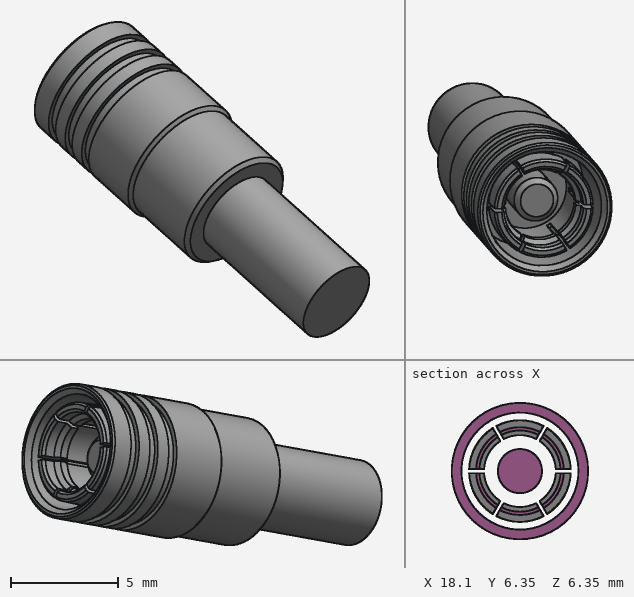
import cadquery as cq

overall_length = 18.1
shell_diameter = 6.35
shell_radius = shell_diameter / 2
shell_chamfer = 0.09

groove_count = 3
groove_start = 1.1
groove_width = 0.5
groove_pitch = 1.2
groove_radius = 2.95

shell_end = 7.0
barrel_radius = 3.0
barrel_end = 10.9
barrel_chamfer = 0.2

mouth_radius = 2.95
mouth_chamfer_depth = 0.25
cavity_radius = 2.72
cavity_depth = 4.52

collet_front = 0.24
collet_face_radius = 2.23
collet_tip_radius = 2.33
collet_lip_radius = 2.37
collet_lip_end = 1.54
finger_radius = 2.05
entry_radius = 2.01
entry_bore_radius = 1.88
ridge_start = 0.9
ridge_radius = 1.67
entry_chamfer = entry_radius - entry_bore_radius
ridge_cone = entry_bore_radius - ridge_radius
tip_chamfer = collet_tip_radius - collet_face_radius

slot_count = 6
slot_width = 0.18
slot_end = 3.98

pin_radius = 1.03
pin_tip = 2.0
pin_chamfer = 0.25

cable_radius = 2.01


def revolve_about_x(points):
    """Turn a closed (x, radius) outline into a solid of revolution about the X axis."""
    return cq.Workplane("XY").polyline(points).close().revolve(360, (0, 0, 0), (1, 0, 0))


def make_shell():
    """Hollow shell with the rear barrel behind it."""
    shell = revolve_about_x([
        (0, mouth_radius),
        (0, shell_radius - shell_chamfer),
        (shell_chamfer, shell_radius),
        (shell_end - (shell_radius - barrel_radius), shell_radius),
        (shell_end, barrel_radius),
        (barrel_end - barrel_chamfer, barrel_radius),
        (barrel_end, barrel_radius - barrel_chamfer),
        (barrel_end, 0),
        (cavity_depth, 0),
        (cavity_depth, cavity_radius),
        (mouth_chamfer_depth, cavity_radius),
    ])
    for index in range(groove_count):
        start = groove_start + index * groove_pitch
        end = start + groove_width
        groove = revolve_about_x([
            (start, groove_radius),
            (end, groove_radius),
            (end, shell_radius + groove_width),
            (start, shell_radius + groove_width),
        ])
        shell = shell.cut(groove)
    return shell


def make_collet():
    """Spring collet with a thick lip, an inner ridge and slotted fingers."""
    collet = revolve_about_x([
        (collet_front, entry_radius),
        (collet_front, collet_face_radius),
        (collet_front + tip_chamfer, collet_tip_radius),
        (collet_lip_end, collet_lip_radius),
        (collet_lip_end, finger_radius),
        (cavity_depth, finger_radius),
        (cavity_depth, entry_bore_radius),
        (collet_lip_end, entry_bore_radius),
        (collet_lip_end, ridge_radius),
        (ridge_start + ridge_cone, ridge_radius),
        (ridge_start, entry_bore_radius),
        (collet_front + entry_chamfer, entry_bore_radius),
    ])
    for index in range(slot_count):
        slot = (
            cq.Workplane("XY")
            .box(slot_end, cavity_radius, slot_width, centered=(False, False, True))
            .rotate((0, 0, 0), (1, 0, 0), index * 360 / slot_count)
        )
        collet = collet.cut(slot)
    return collet


def make_pin():
    """Contact pin with a chamfered tip."""
    return revolve_about_x([
        (pin_tip, 0),
        (pin_tip, pin_radius - pin_chamfer),
        (pin_tip + pin_chamfer, pin_radius),
        (cavity_depth, pin_radius),
        (cavity_depth, 0),
    ])


def make_connector():
    """Connector body: shell, collet and pin in one piece."""
    return make_shell().union(make_collet()).union(make_pin())


def make_cable():
    """Plain round cable behind the barrel."""
    cable_length = overall_length - barrel_end
    return cq.Workplane("YZ", origin=(barrel_end, 0, 0)).circle(cable_radius).extrude(cable_length)


connector = make_connector()
cable = make_cable()

result = cq.Compound.makeCompound([connector.val(), cable.val()])